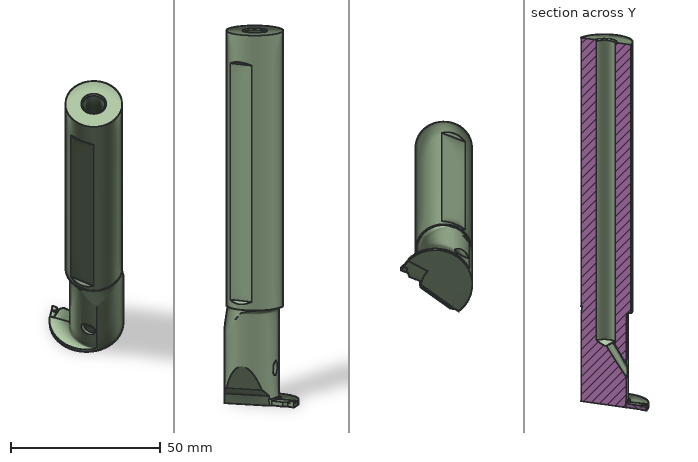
import cadquery as cq
import math

total_length = 127.0
tip_bottom = 0.0
tip_top = 2.0
disc_bottom = 0.1
disc_top = 1.7
shank_bottom = 33.3

shank_radius = 9.5
flat_offset = 8.5
flat_bottom = 36.2
flat_top = 116.7
flat_ramp = shank_radius - flat_offset

neck_radius = 9.5
neck_x = 1.7
disc_radius = 12.5
disc_x = shank_radius - disc_radius
disc_y = 0.4
neck_fillet = 0.8
shoulder_fillet = 1.4
taper_top_radius = 9.1
taper_rise = 0.15

bore_radius = 3.7
bore_chamfer = 0.5
bore_bottom = 22.2
bore_point_angle = 118.0
outlet_radius = 1.4
outlet_start = (-1.4, -1.3, 21.6)
outlet_exit = (-7.9, -0.5, 12.6)
outlet_overrun = 2.5

screw_radius = 2.5
screw_depth = 2.2
screw_dip = 18.0
screw_mouth = (2.7, -9.4, 11.5)

gullet_angle = 15.0
gullet_profile = [(4.1, 0), (4.6, 3.5), (6.7, 5.8), (9.7, 15.9), (19.0, 15.9), (19.0, 0)]
gullet_length = 76.2

insert_back = 1.1
insert_inner_x = -3.8
insert_front_inner = (insert_inner_x, -2.7)
insert_front_outer = (-14.5, -4.1)
insert_corner = (-13.1, 0.0)
insert_shoulder_x = -12.0
tip_x = -15.6
tip_inner_x = -13.7
tip_depth = 1.5
tip_flank_x = -15.1
tip_step = 0.4
seat_recess = 0.3
seat_reach = 25.4


def cylinder(radius, bottom, top, x=0.0, y=0.0):
    return cq.Workplane("XY", origin=(x, y, bottom)).circle(radius).extrude(top - bottom)


def neck_column(bottom, top):
    return cylinder(neck_radius, bottom, top, neck_x)


def disc_column(bottom, top):
    return cylinder(disc_radius, bottom, top, disc_x, disc_y)


def shank():
    body = cylinder(shank_radius, shank_bottom, total_length)
    flat = (
        cq.Workplane("YZ")
        .polyline(
            [
                (flat_offset, flat_bottom),
                (flat_offset, flat_top),
                (flat_offset + 2 * flat_ramp, flat_top + 2 * flat_ramp),
                (flat_offset + 2 * flat_ramp, flat_bottom - 2 * flat_ramp),
            ]
        )
        .close()
        .extrude(shank_radius, both=True)
    )
    return body.cut(flat).cut(flat.mirror("XZ"))


def neck():
    taper_length = shank_bottom - disc_bottom
    taper = (
        cq.Workplane("XZ")
        .polyline(
            [
                (0, disc_bottom),
                (taper_top_radius + taper_rise * taper_length, disc_bottom),
                (taper_top_radius, shank_bottom),
                (0, shank_bottom),
            ]
        )
        .close()
        .revolve(360, (0, 0, 0), (0, 1, 0))
    )
    column = neck_column(disc_bottom, shank_bottom).intersect(disc_column(disc_bottom, shank_bottom))
    return column.union(shoulder_ring()).intersect(taper)


def shoulder_ring():
    """Concave fillet ring between the neck wall and the underside of the shank."""
    outer = neck_radius + shoulder_fillet
    return (
        cq.Workplane("XZ", origin=(neck_x, 0, 0))
        .moveTo(0, shank_bottom)
        .lineTo(outer, shank_bottom)
        .radiusArc((neck_radius, shank_bottom - shoulder_fillet), -shoulder_fillet)
        .lineTo(0, shank_bottom - shoulder_fillet)
        .close()
        .revolve(360, (0, 0, 0), (0, 1, 0))
        .intersect(disc_column(disc_bottom, shank_bottom))
    )


def neck_foot():
    """Concave fillet ring between the disc top and the neck wall."""
    outer = neck_radius + neck_fillet
    ring = (
        cq.Workplane("XZ", origin=(neck_x, 0, 0))
        .moveTo(0, disc_bottom)
        .lineTo(outer, disc_bottom)
        .lineTo(outer, disc_top)
        .radiusArc((neck_radius, disc_top + neck_fillet), neck_fillet)
        .lineTo(0, disc_top + neck_fillet)
        .close()
        .revolve(360, (0, 0, 0), (0, 1, 0))
    )
    return ring.intersect(disc_column(disc_bottom, disc_top + neck_fillet))


def coolant_bore():
    point_depth = bore_radius / math.tan(math.radians(bore_point_angle / 2))
    mouth = bore_radius + bore_chamfer
    return (
        cq.Workplane("XZ")
        .polyline(
            [
                (0, bore_bottom - point_depth),
                (bore_radius, bore_bottom),
                (bore_radius, total_length - bore_chamfer),
                (mouth, total_length),
                (0, total_length),
            ]
        )
        .close()
        .revolve(360, (0, 0, 0), (0, 1, 0))
    )


def coolant_outlet():
    start = cq.Vector(*outlet_start)
    run = cq.Vector(*outlet_exit) - start
    return cq.Workplane(cq.Solid.makeCylinder(outlet_radius, run.Length + outlet_overrun, start, run))


def screw_seat():
    dip = math.radians(screw_dip)
    inward = cq.Vector(0, math.cos(dip), -math.sin(dip))
    start = cq.Vector(*screw_mouth) - inward * screw_depth
    return cq.Workplane(cq.Solid.makeCylinder(screw_radius, 2 * screw_depth, start, inward))


def chip_gullet():
    turn = math.radians(gullet_angle)
    along = cq.Vector(math.cos(turn), math.sin(turn), 0)
    outward = cq.Vector(-math.sin(turn), math.cos(turn), 0)
    plane = cq.Plane(origin=(0, 0, 0), xDir=outward, normal=along)
    return cq.Workplane(plane).polyline(gullet_profile).close().extrude(gullet_length / 2, both=True)


def seat_prism(outline, top):
    """Prism on the given plan, ending in the slightly recessed neck wall."""
    block = cq.Workplane("XY").workplane(offset=disc_bottom).polyline(outline).close()
    neck_core = cylinder(neck_radius - seat_recess, disc_bottom, top, neck_x)
    return block.extrude(top - disc_bottom).cut(neck_core)


def insert_seat():
    """Space in front of the neck that is kept free of the disc and of the foot fillet."""
    outline = [
        insert_front_inner,
        insert_front_outer,
        (-seat_reach, insert_front_outer[1]),
        (-seat_reach, seat_reach),
        (insert_inner_x, seat_reach),
    ]
    return seat_prism(outline, disc_top + neck_fillet)


def cutting_insert():
    outline = [
        (insert_inner_x, insert_back),
        (insert_shoulder_x, insert_back),
        insert_corner,
        (tip_x, 0),
        insert_front_outer,
        insert_front_inner,
    ]
    body = seat_prism(outline, disc_top)
    step_length = insert_corner[0] - tip_x
    step_width = -insert_front_outer[1]
    step = (
        cq.Workplane("XY", origin=(tip_x, -step_width, disc_top - tip_step))
        .rect(step_length, step_width, centered=False)
        .extrude(tip_step)
    )
    tip = (
        cq.Workplane("XY")
        .workplane(offset=tip_bottom)
        .polyline([(tip_x, 0), (tip_inner_x, 0), (tip_inner_x, -tip_depth), (tip_flank_x, -tip_depth)])
        .close()
        .extrude(tip_top - tip_bottom)
    )
    return body.cut(step).union(tip)


def holder():
    body = shank().union(neck()).union(disc_column(disc_bottom, disc_top)).union(neck_foot())
    body = body.cut(chip_gullet())
    body = body.cut(insert_seat())
    return body.cut(coolant_bore()).cut(coolant_outlet()).cut(screw_seat())


bar = holder()
insert = cutting_insert()
result = cq.Compound.makeCompound([bar.val(), insert.val()])